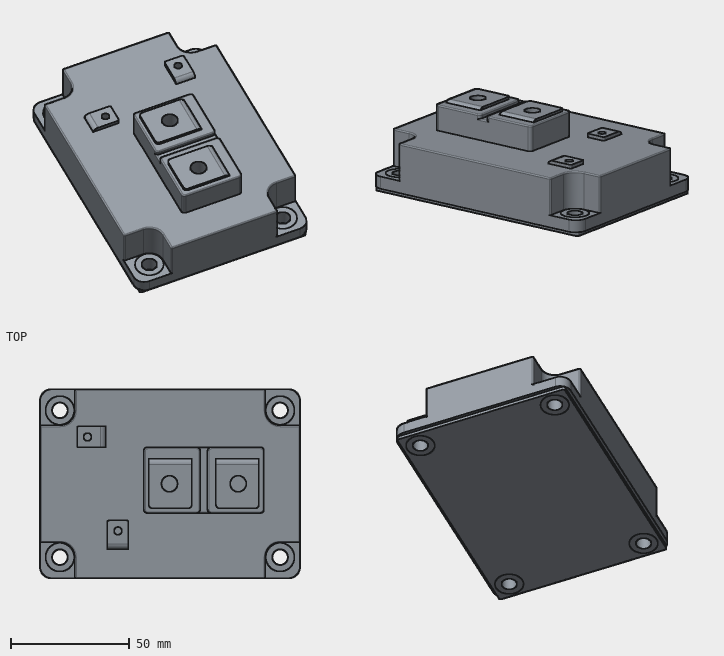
import cadquery as cq
import math

LENGTH = 110.0
WIDTH = 80.0
BASE_TOP = 1.8
FLANGE_TOP = 7.1
DECK_TOP = 23.6
BLOCK_TOP = 35.0
FLANGE_CORNER_RADIUS = 5.0
EDGE_RADIUS = 0.5

BASE_LENGTH = 107.6
BASE_WIDTH = 77.2
BASE_CORNER_RADIUS = 0.9

MOUNT_X = 46.5
MOUNT_Y = 31.0
MOUNT_HOLE_DIAMETER = 6.5
SLEEVE_DIAMETER = 12.1
NOTCH_RADIUS = 6.3

BLOCK_LENGTH = 50.8
BLOCK_WIDTH = 27.8
BLOCK_X = 14.3
BLOCK_Y = 1.5
BLOCK_CORNER_RADIUS = 1.5
GROOVE_WIDTH = 3.1
GROOVE_FLOOR = 33.0

POWER_WIDTH = 18.1
POWER_LENGTH = 21.0
POWER_THICKNESS = 1.1
POWER_CORNER_RADIUS = 1.5
POWER_BEND_RADIUS = 3.0
POWER_HOLE_DIAMETER = 6.8
POWER_HOLE_DEPTH = 11.0
POWER_PITCH = 28.4
POWER_Y = 0.1
POWER_HOLE_PITCH = 29.0
POWER_HOLE_Y = 0.0

CONTROL_WIDTH = 8.9
CONTROL_LENGTH = 12.2
CONTROL_THICKNESS = 1.6
CONTROL_CORNER_RADIUS = 0.7
CONTROL_BEND_RADIUS = 2.5
CONTROL_HOLE_DIAMETER = 3.3
CONTROL_HOLE_TO_EDGE = 4.4
CONTROL_HOLE_DEPTH = 6.6

MOUNT_POINTS = [(sx * MOUNT_X, sy * MOUNT_Y) for sx in (-1, 1) for sy in (-1, 1)]
CONTROL_PLACES = [(-34.9, 19.8, -90), (-22.0, -19.9, 180)]


def rounded_slab(length, width, bottom, top, radius):
    """Upright slab with rounded vertical corners."""
    slab = cq.Workplane("XY").workplane(offset=bottom).rect(length, width).extrude(top - bottom)
    return slab.edges("|Z").fillet(radius)


def upright_cylinders(points, diameter, bottom, top):
    """Equal round bars on the given points between two heights."""
    plane = cq.Workplane("XY").workplane(offset=bottom)
    return plane.pushPoints(points).circle(diameter / 2).extrude(top - bottom)


def corner_notch(x_side, y_side):
    """Cutter for one mounting corner, round around the mounting hole."""
    reach_x = LENGTH / 2 - MOUNT_X + NOTCH_RADIUS
    reach_y = WIDTH / 2 - MOUNT_Y + NOTCH_RADIUS
    center = (x_side * (LENGTH - reach_x) / 2, y_side * (WIDTH - reach_y) / 2)
    x_name = "<X" if x_side > 0 else ">X"
    y_name = "<Y" if y_side > 0 else ">Y"
    notch = cq.Workplane("XY").workplane(offset=FLANGE_TOP).center(*center).rect(reach_x, reach_y)
    notch = notch.extrude(DECK_TOP - FLANGE_TOP)
    return notch.edges("|Z").edges(x_name).edges(y_name).fillet(NOTCH_RADIUS)


def make_tower():
    """Upper housing between the notches, with its outward corners and top rim rounded."""
    tower = cq.Workplane("XY").workplane(offset=FLANGE_TOP).rect(LENGTH, WIDTH).extrude(DECK_TOP - FLANGE_TOP)
    for x_side in (-1, 1):
        for y_side in (-1, 1):
            tower = tower.cut(corner_notch(x_side, y_side))
    for side in ("<X", ">X", "<Y", ">Y"):
        tower = tower.faces(side).edges("|Z").fillet(EDGE_RADIUS)
    return tower.faces(">Z").edges().fillet(EDGE_RADIUS)


def make_block():
    """Terminal block: two rounded halves above a lower body, leaving a groove between them."""
    center = cq.Vector(BLOCK_X, BLOCK_Y, 0)
    block = rounded_slab(BLOCK_LENGTH, BLOCK_WIDTH, DECK_TOP, GROOVE_FLOOR, BLOCK_CORNER_RADIUS)
    block = block.faces(">Z").edges().fillet(EDGE_RADIUS)
    half_length = (BLOCK_LENGTH - GROOVE_WIDTH) / 2
    half = rounded_slab(half_length, BLOCK_WIDTH, DECK_TOP, BLOCK_TOP, BLOCK_CORNER_RADIUS)
    half = half.faces(">Z").edges().fillet(EDGE_RADIUS)
    for side in (-1, 1):
        block = block.union(half.translate((side * (half_length + GROOVE_WIDTH) / 2, 0, 0)))
    return block.translate(center)


def make_terminal(width, length, thickness, corner_radius, bend_radius):
    """Flat tab lying on Z = 0, centered on X and Y, with its +Y end curving down."""
    end = length / 2
    bend_run = math.sqrt(bend_radius ** 2 - (bend_radius - thickness) ** 2)
    bend_start = end - bend_run
    half_angle = math.asin(bend_run / bend_radius) / 2
    bend_middle = (
        bend_start + bend_radius * math.sin(half_angle),
        thickness - bend_radius * (1 - math.cos(half_angle)),
    )
    side_profile = (
        cq.Workplane("YZ")
        .moveTo(-end, 0)
        .lineTo(end, 0)
        .threePointArc(bend_middle, (bend_start, thickness))
        .lineTo(-end, thickness)
        .close()
    )
    tab = side_profile.extrude(width / 2, both=True)
    return tab.faces("<Y").edges("|Z").fillet(corner_radius)


def add_power_terminals(housing):
    """Tabs on the terminal block, each with a blind screw hole."""
    tab = make_terminal(POWER_WIDTH, POWER_LENGTH, POWER_THICKNESS, POWER_CORNER_RADIUS, POWER_BEND_RADIUS)
    for side in (-1, 1):
        housing = housing.union(tab.translate((BLOCK_X + side * POWER_PITCH / 2, POWER_Y, BLOCK_TOP)))
    top = BLOCK_TOP + POWER_THICKNESS
    hole_points = [(BLOCK_X + side * POWER_HOLE_PITCH / 2, POWER_HOLE_Y) for side in (-1, 1)]
    return housing.cut(upright_cylinders(hole_points, POWER_HOLE_DIAMETER, top - POWER_HOLE_DEPTH, top))


def add_control_terminals(housing):
    """Small tabs on the deck, each with a blind hole near its square end."""
    tab = make_terminal(
        CONTROL_WIDTH, CONTROL_LENGTH, CONTROL_THICKNESS, CONTROL_CORNER_RADIUS, CONTROL_BEND_RADIUS
    )
    tab = tab.translate((0, CONTROL_LENGTH / 2 - CONTROL_HOLE_TO_EDGE, 0))
    for x, y, turn in CONTROL_PLACES:
        housing = housing.union(tab.rotate((0, 0, 0), (0, 0, 1), turn).translate((x, y, DECK_TOP)))
    top = DECK_TOP + CONTROL_THICKNESS
    hole_points = [(x, y) for x, y, _ in CONTROL_PLACES]
    return housing.cut(upright_cylinders(hole_points, CONTROL_HOLE_DIAMETER, top - CONTROL_HOLE_DEPTH, top))


def make_housing():
    """Base, flange, tower, terminal block and terminals in one piece, bored for the sleeves."""
    base = rounded_slab(BASE_LENGTH, BASE_WIDTH, 0, BASE_TOP, BASE_CORNER_RADIUS)
    flange = rounded_slab(LENGTH, WIDTH, BASE_TOP, FLANGE_TOP, FLANGE_CORNER_RADIUS)
    housing = base.union(flange).union(make_tower()).union(make_block())
    housing = add_power_terminals(housing)
    housing = add_control_terminals(housing)
    return housing.cut(upright_cylinders(MOUNT_POINTS, SLEEVE_DIAMETER, 0, FLANGE_TOP))


def make_sleeve(point):
    """Mounting sleeve flush with the top of the flange and the underside of the base."""
    sleeve = upright_cylinders([point], SLEEVE_DIAMETER, 0, FLANGE_TOP)
    return sleeve.cut(upright_cylinders([point], MOUNT_HOLE_DIAMETER, 0, FLANGE_TOP))


housing = make_housing()
sleeves = [make_sleeve(point) for point in MOUNT_POINTS]

result = cq.Compound.makeCompound([housing.val(), *[sleeve.val() for sleeve in sleeves]])